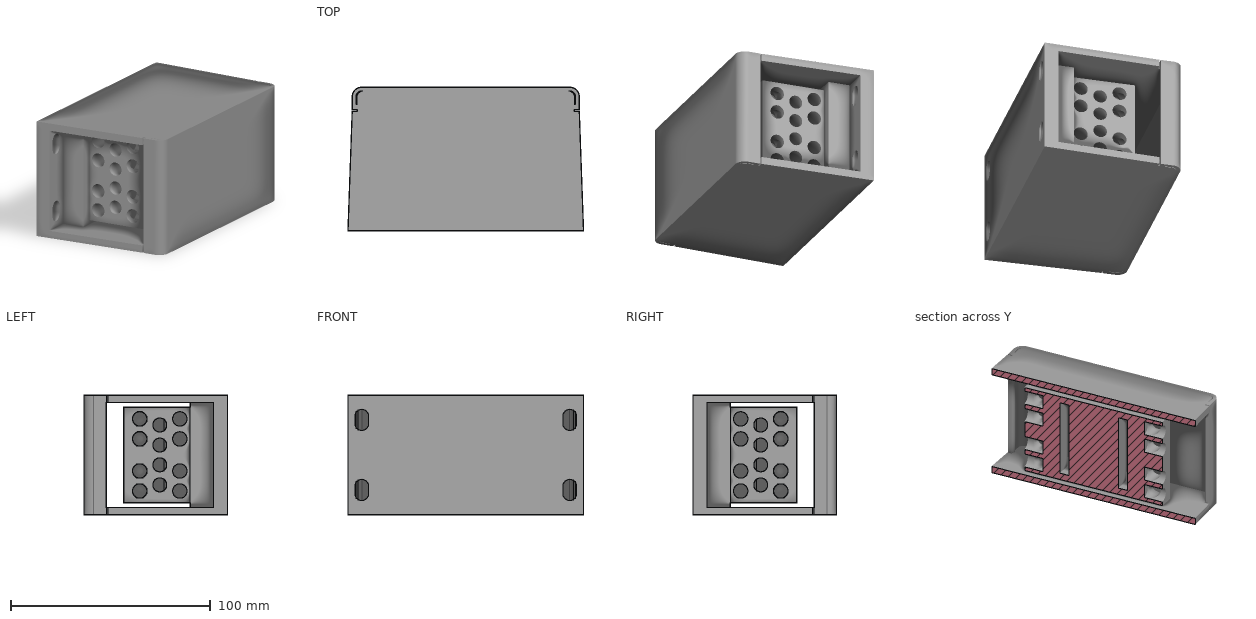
import cadquery as cq

WIDTH = 118.0
DEPTH = 72.0
HEIGHT = 60.0
MID_Z = HEIGHT / 2
PLATE = 3.8
FRONT_WALL = 7.2
CAVITY_HEIGHT = HEIGHT - 2 * PLATE

COVER_HALF_WIDTH = 56.9
COVER_WALL = 2.0
COVER_CORNER = 5.0
LIP_Y = 60.7
LIP_GAP = 0.7
SIDE_GAP = 0.4
BEAD_RADIUS = 1.4
INNER_HALF_WIDTH = COVER_HALF_WIDTH - COVER_WALL
INNER_CORNER = COVER_CORNER - COVER_WALL
INNER_BACK_Y = DEPTH - COVER_WALL
TAPER_END_Y = LIP_Y - LIP_GAP
BEAD_OFFSET = 0.4
BEAD_X = INNER_HALF_WIDTH + BEAD_OFFSET
BEAD_Y = LIP_Y + BEAD_RADIUS
LIP_SLIT_LENGTH = 2.5

SLOT_INSET = 7.0
SLOT_X = WIDTH / 2 - SLOT_INSET
SLOT_SPACING_Z = 35.0
SLOT_WIDTH = 7.0
SLOT_HEIGHT = 10.5

BASE_HALF_WIDTH = 44.8
BASE_Y = 18.8
TERMINAL_HALF_WIDTH = 38.9
TERMINAL_Y = 52.0
TERMINAL_HEIGHT = 47.9

HOLE_PITCH_Y = 10.0
MIDDLE_HOLE_Y = 34.0
OUTER_HOLE_DIAMETER = 7.2
MIDDLE_HOLE_DIAMETER = 7.0
OUTER_HOLE_OFFSETS_Z = (-18.0, -8.0, 8.0, 18.0)
MIDDLE_HOLE_OFFSETS_Z = (-15.0, -5.0, 5.0, 15.0)
INNER_ROW_DEPTH = 14.2
ELBOW_DEPTH = 6.6

POCKET_Y = 32.0
POCKET_WIDTH = 4.7
POCKET_HEIGHT = 40.1
POCKET_INNER_X = 14.2
POCKET_WALL = 1.2


def box_between(x0, x1, y0, y1, height):
    """Box between X and Y limits, centred on the mid-height."""
    middle = ((x0 + x1) / 2, (y0 + y1) / 2, MID_Z)
    return cq.Workplane("XY").box(x1 - x0, y1 - y0, height).translate(middle)


def both_sides(solid):
    """The solid together with its mirror image at the other end of X."""
    return solid.union(solid.mirror("YZ"))


def rounded_back_prism(half_width, y0, y1, corner, height):
    """Box with its two rear vertical edges rounded."""
    return box_between(-half_width, half_width, y0, y1, height).edges("|Z and >Y").fillet(corner)


def cylinder_x(x0, x1, y, z, diameter):
    """Cylinder along X, from x0 to x1."""
    return cq.Workplane("YZ", origin=(x0, y, z)).circle(diameter / 2).extrude(x1 - x0)


def tapered_body():
    return (
        cq.Workplane("XY")
        .polyline(
            [
                (-WIDTH / 2, 0),
                (WIDTH / 2, 0),
                (COVER_HALF_WIDTH, TAPER_END_Y),
                (-COVER_HALF_WIDTH, TAPER_END_Y),
            ]
        )
        .close()
        .extrude(HEIGHT)
    )


def cover_beads():
    bead = cq.Workplane("XY").center(BEAD_X, BEAD_Y).circle(BEAD_RADIUS).extrude(HEIGHT)
    return both_sides(bead.intersect(box_between(0, COVER_HALF_WIDTH, LIP_Y, DEPTH, HEIGHT)))


def enclosure():
    cover = rounded_back_prism(COVER_HALF_WIDTH, TAPER_END_Y, DEPTH, COVER_CORNER, HEIGHT)
    rear_cavity = rounded_back_prism(INNER_HALF_WIDTH, FRONT_WALL, INNER_BACK_Y, INNER_CORNER, CAVITY_HEIGHT)
    side_opening = box_between(-WIDTH / 2, WIDTH / 2, FRONT_WALL, LIP_Y, CAVITY_HEIGHT)
    return tapered_body().union(cover).cut(rear_cavity).cut(side_opening).union(cover_beads())


def cover_slits():
    """Clearance between the cover and the plates: one slit at each lip and one around each corner."""
    lip_slit = box_between(
        COVER_HALF_WIDTH - LIP_SLIT_LENGTH, WIDTH / 2, TAPER_END_Y, LIP_Y, HEIGHT
    )
    slit_start_y = BEAD_Y + BEAD_RADIUS
    cover_inside = rounded_back_prism(INNER_HALF_WIDTH, slit_start_y, INNER_BACK_Y, INNER_CORNER, HEIGHT)
    plate_edge = rounded_back_prism(
        INNER_HALF_WIDTH - SIDE_GAP, slit_start_y, INNER_BACK_Y, INNER_CORNER, HEIGHT
    )
    return both_sides(lip_slit).union(cover_inside.cut(plate_edge))


def mounting_slots():
    return (
        cq.Workplane("XZ")
        .center(0, MID_Z)
        .rarray(2 * SLOT_X, SLOT_SPACING_Z, 2, 2)
        .slot2D(SLOT_HEIGHT, SLOT_WIDTH, 90)
        .extrude(-FRONT_WALL)
    )


def wire_passages():
    """Holes, elbow bores and pocket at the +X end of the terminal block."""
    end_x = TERMINAL_HALF_WIDTH
    elbow_x = end_x - ELBOW_DEPTH
    elbow_y = MIDDLE_HOLE_Y + HOLE_PITCH_Y
    inner_row_y = MIDDLE_HOLE_Y - HOLE_PITCH_Y
    middle_end_x = POCKET_INNER_X + POCKET_WALL
    radius = OUTER_HOLE_DIAMETER / 2

    passages = box_between(
        POCKET_INNER_X, POCKET_INNER_X + POCKET_WIDTH, POCKET_Y, TERMINAL_Y, POCKET_HEIGHT
    )
    for offset in MIDDLE_HOLE_OFFSETS_Z:
        hole = cylinder_x(middle_end_x, end_x, MIDDLE_HOLE_Y, MID_Z + offset, MIDDLE_HOLE_DIAMETER)
        passages = passages.union(hole)
    for offset in OUTER_HOLE_OFFSETS_Z:
        z = MID_Z + offset
        inner_hole = cylinder_x(end_x - INNER_ROW_DEPTH, end_x, inner_row_y, z, OUTER_HOLE_DIAMETER)
        elbow_hole = cylinder_x(elbow_x - radius, end_x, elbow_y, z, OUTER_HOLE_DIAMETER)
        elbow_bore = (
            cq.Workplane("XZ", origin=(elbow_x, TERMINAL_Y, z))
            .circle(radius)
            .extrude(TERMINAL_Y - elbow_y + radius)
        )
        passages = passages.union(inner_hole).union(elbow_hole).union(elbow_bore)
    return passages


def inner_block():
    base = box_between(-BASE_HALF_WIDTH, BASE_HALF_WIDTH, FRONT_WALL, BASE_Y, CAVITY_HEIGHT)
    terminal = box_between(-TERMINAL_HALF_WIDTH, TERMINAL_HALF_WIDTH, BASE_Y, TERMINAL_Y, TERMINAL_HEIGHT)
    return base.union(terminal).cut(both_sides(wire_passages()))


result = enclosure().cut(cover_slits()).cut(mounting_slots()).union(inner_block())